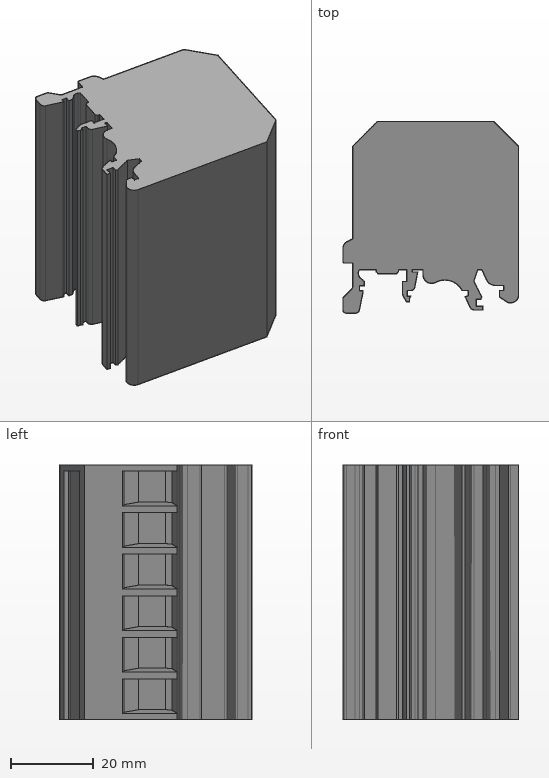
import cadquery as cq
import math

width = 42.5
depth = 46.4
height = 61.5

block_left = 2.4
base_y = 10.5
chamfer = 6.0
root = 0.6

pocket_count = 6
pocket_pitch = 10.0
pocket_height = 8.35
pocket_depth = 3.25
pocket_sill_rise = 0.9
end_margin = (height - (pocket_count - 1) * pocket_pitch - pocket_height) / 2

groove_upper_lip = 1.05
groove_lower_lip = 4.8
groove_arc_radius = 6.5 / 2
groove_arc_end = (0.35, 2.15)
groove_ledge = 0.35


def prism(outline):
    """Extrude a closed outline over the full height."""
    return outline.close().extrude(height)


def outline_from(point):
    return cq.Workplane("XY").moveTo(*point)


def block():
    corner_y = depth - chamfer
    points = [
        (block_left, base_y),
        (width, base_y),
        (width, corner_y),
        (width - chamfer, depth),
        (block_left + chamfer, depth),
        (block_left, corner_y),
    ]
    return prism(cq.Workplane("XY").polyline(points))


boss_bottom = 12.1
boss_edge_radius = 0.4
boss_arc_start = (0, 15.5)
boss_arc_end = (1.15, 17.4)
boss_arc_radius = 2.0
boss_top = (block_left, 18.0)


def side_boss():
    return prism(
        outline_from((block_left + root, boss_bottom))
        .lineTo(boss_edge_radius, boss_bottom)
        .radiusArc((0, boss_bottom + boss_edge_radius), boss_edge_radius)
        .lineTo(*boss_arc_start)
        .radiusArc(boss_arc_end, boss_arc_radius)
        .lineTo(*boss_top)
        .lineTo(block_left + root, boss_top[1])
    )


left_heel_y = 3.75
left_ankle_y = left_heel_y + block_left
left_heel_radius = 0.75
left_ankle_radius = 1.0
left_toe_radius = 0.9
left_sole_end = (2.95, 0)
left_sole_corner = (4.05, 0.85)
left_shin_top = (4.9, 5.1)
left_notch_x = 4.05
left_notch_bottom = 5.5
left_notch_top = 6.65
left_lip_x = 5.2
left_lip_top = 7.7
left_throat = (4.05, 8.75)
left_throat_mid = (3.8, 9.5)
left_throat_top = (3.8, 10.1)
left_throat_radius = 0.5


def left_foot():
    slope = math.radians(45)
    ankle_setback = left_ankle_radius * math.tan(slope / 2)
    heel_setback = left_heel_radius * math.tan(slope / 2)
    ankle_start = (block_left, left_ankle_y + ankle_setback)
    ankle_end = (
        block_left - ankle_setback * math.cos(slope),
        left_ankle_y - ankle_setback * math.sin(slope),
    )
    heel_start = (heel_setback * math.cos(slope), left_heel_y + heel_setback * math.sin(slope))
    heel_end = (0, left_heel_y - heel_setback)
    return prism(
        outline_from((block_left, base_y + root))
        .lineTo(*ankle_start)
        .radiusArc(ankle_end, left_ankle_radius)
        .lineTo(*heel_start)
        .radiusArc(heel_end, -left_heel_radius)
        .lineTo(0, left_toe_radius)
        .radiusArc((left_toe_radius, 0), -left_toe_radius)
        .lineTo(*left_sole_end)
        .tangentArcPoint(left_sole_corner, relative=False)
        .lineTo(*left_shin_top)
        .lineTo(left_shin_top[0], left_notch_bottom)
        .lineTo(left_notch_x, left_notch_bottom)
        .lineTo(left_notch_x, left_notch_top)
        .lineTo(left_lip_x, left_notch_top)
        .lineTo(left_lip_x, left_lip_top)
        .lineTo(*left_throat)
        .threePointArc(left_throat_mid, left_throat_top)
        .radiusArc((left_throat_top[0] + left_throat_radius, base_y), left_throat_radius)
        .lineTo(left_throat_top[0] + left_throat_radius, base_y + root)
    )


pad_left = 8.05
pad_right = 13.45
pad_drop = 1.0
pad_bevel = 0.5


def pad():
    pad_y = base_y - pad_drop
    points = [
        (pad_left, base_y + root),
        (pad_left, pad_y + pad_bevel),
        (pad_left + pad_bevel, pad_y),
        (pad_right - pad_bevel, pad_y),
        (pad_right, pad_y + pad_bevel),
        (pad_right, base_y + root),
    ]
    return prism(cq.Workplane("XY").polyline(points))


clip_neck_left = 15.45
clip_left = 14.4
clip_step_y = 7.75
clip_slit_end = 16.8
clip_slit = 0.5
clip_right = (18.15, base_y - clip_slit)
clip_shin_end = (17.4, 6.3)
clip_shin_corner = (16.55, 5.5)
clip_shin_radius = 1.1
clip_notch_x = 15.6
clip_notch_top = 5.5
clip_notch_bottom = 4.2
clip_lip = (16.4, 4.2)
clip_lip_end = (16.2, 3.6)
clip_tip_y = 2.75
clip_tip_left = 15.4
clip_side_end = (14.4, 5.0)
clip_side_radius = 1.85
clip_side_corner = (14.65, 4.05)


def middle_clip():
    return prism(
        outline_from((clip_neck_left, base_y + root))
        .lineTo(clip_neck_left, clip_step_y)
        .lineTo(clip_left, clip_step_y)
        .lineTo(*clip_side_end)
        .radiusArc(clip_side_corner, -clip_side_radius)
        .lineTo(clip_tip_left, clip_tip_y)
        .lineTo(clip_lip_end[0], clip_tip_y)
        .lineTo(*clip_lip_end)
        .lineTo(*clip_lip)
        .lineTo(clip_notch_x, clip_notch_bottom)
        .lineTo(clip_notch_x, clip_notch_top)
        .lineTo(*clip_shin_corner)
        .radiusArc(clip_shin_end, -clip_shin_radius)
        .lineTo(*clip_right)
        .lineTo(clip_slit_end, clip_right[1])
        .lineTo(clip_slit_end, base_y + root)
    )


lobe_left = (19.4, 9.15)
lobe_mid = (20.05, 7.75)
cradle_start = (22.4, 7.45)
cradle_mid = (24.3, 8.0)
cradle_end = (28.85, 5.5)
leg_notch_x = 30.25
leg_notch_bottom = 4.25
leg_heel = (29.5, 4.05)
leg_sole_corner = (30.7, 1.55)
leg_sole_start = (31.7, 0.8)
leg_sole_radius = 1.2
leg_tip_x = 33.8
leg_slot_x = 32.3
leg_slot_bottom = 1.7
leg_slot_top = 3.4
leg_lip_start = (33.35, 3.4)
leg_lip_end = (33.6, 3.95)
leg_knee = (31.7, 7.75)
leg_top_x = 32.6


def cradle_and_right_clip():
    return prism(
        outline_from((lobe_left[0], base_y + root))
        .lineTo(*lobe_left)
        .threePointArc(lobe_mid, cradle_start)
        .threePointArc(cradle_mid, cradle_end)
        .lineTo(leg_notch_x, cradle_end[1])
        .lineTo(leg_notch_x, leg_notch_bottom)
        .lineTo(*leg_heel)
        .lineTo(*leg_sole_corner)
        .radiusArc(leg_sole_start, -leg_sole_radius)
        .lineTo(leg_tip_x, leg_sole_start[1])
        .lineTo(leg_tip_x, leg_slot_bottom)
        .lineTo(leg_slot_x, leg_slot_bottom)
        .lineTo(leg_slot_x, leg_slot_top)
        .lineTo(*leg_lip_start)
        .lineTo(*leg_lip_end)
        .lineTo(*leg_knee)
        .lineTo(leg_top_x, base_y)
        .lineTo(leg_top_x, base_y + root)
    )


foot_top_x = 33.6
foot_fillet_start = (34.7, 8.1)
foot_fillet_end = (36.9, 6.7)
foot_fillet_radius = 2.4
foot_notch_x = 38.85
foot_hook_x = 37.8
foot_hook_top = 5.55
foot_hook_bottom = 3.95
foot_sole_y = 2.5
foot_sole_start = 40.0
foot_round = 1.95


def right_foot():
    return prism(
        outline_from((foot_top_x, base_y + root))
        .lineTo(foot_top_x, base_y)
        .lineTo(*foot_fillet_start)
        .radiusArc(foot_fillet_end, -foot_fillet_radius)
        .lineTo(foot_notch_x, foot_fillet_end[1])
        .lineTo(foot_notch_x, foot_hook_top)
        .lineTo(foot_hook_x, foot_hook_top)
        .lineTo(foot_hook_x, foot_hook_bottom)
        .lineTo(foot_sole_start, foot_sole_y)
        .lineTo(width - foot_round, foot_sole_y)
        .radiusArc((width, foot_sole_y + foot_round), -foot_round)
        .lineTo(width, base_y + root)
    )


pocket_mouth_y = 31.2
pocket_flare = (block_left + 1.0, 30.8)
pocket_floor_top = 27.3
pocket_floor_bottom = 20.8
pocket_shoulder = (block_left + 2.7, 19.25)


def pocket():
    """One pocket with its mouth sill at Z = 0 and its sill climbing inwards."""
    floor_x = block_left + pocket_depth
    plan = (
        cq.Workplane("XY")
        .polyline([
            (block_left, pocket_mouth_y),
            pocket_flare,
            (floor_x, pocket_floor_top),
            (floor_x, pocket_floor_bottom),
            pocket_shoulder,
            boss_top,
        ])
        .close()
        .extrude(pocket_height)
    )
    sill = (
        cq.Workplane("XZ")
        .polyline([(block_left, 0), (floor_x, 0), (floor_x, pocket_sill_rise)])
        .close()
        .extrude(-depth)
    )
    return plan.cut(sill)


def label_groove():
    """Groove in the left back chamfer, open at the bottom: arc, ledge, floor, square lower wall."""
    edge_x = block_left + chamfer
    arc_end = (edge_x - groove_arc_end[0], depth - groove_arc_end[1])
    floor_start = (arc_end[0], arc_end[1] - groove_ledge)
    floor_offset = (groove_arc_end[1] + groove_ledge - groove_arc_end[0]) / 2
    lower_lip = (edge_x - groove_lower_lip, depth - groove_lower_lip)
    return (
        outline_from((edge_x - groove_upper_lip, depth - groove_upper_lip))
        .radiusArc(arc_end, -groove_arc_radius)
        .lineTo(*floor_start)
        .lineTo(lower_lip[0] + floor_offset, lower_lip[1] - floor_offset)
        .lineTo(*lower_lip)
        .close()
        .extrude(height - end_margin)
    )


result = block()
for feature in (side_boss, left_foot, pad, middle_clip, cradle_and_right_clip, right_foot):
    result = result.union(feature())

for index in range(pocket_count):
    sill_z = end_margin + index * pocket_pitch
    result = result.cut(pocket().translate((0, 0, sill_z)))

result = result.cut(label_groove())